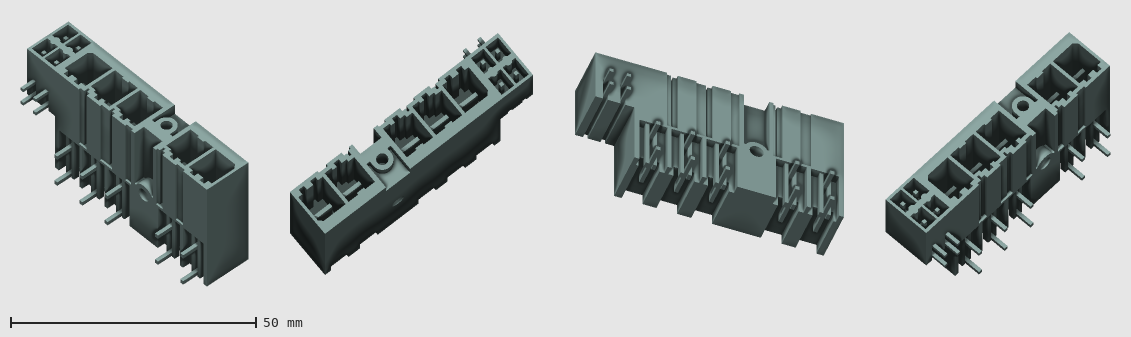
import cadquery as cq

LENGTH = 54.3
DEPTH = 11.45
HEIGHT = 28.3
SIGNAL_BLOCK_WIDTH = 8.5
SIGNAL_BLOCK_BOTTOM = 15.05
TAIL_REACH = 3.4

POLE_PITCH = 7.6
MOUNT_X = 35.25
POLE_STEPS = [-3, -2, -1, 1, 2]
POLE_XS = [MOUNT_X + step * POLE_PITCH for step in POLE_STEPS]
FIRST_POLE_X = POLE_XS[0]
LAST_POLE_X = POLE_XS[-1]
INNER_POLE_XS = POLE_XS[1:-1]

POCKET_FLOOR = 13.05
POCKET_HALF = 3.4
POCKET_OUTER_HALF = 3.2
POCKET_BACK = 9.1
POCKET_KEY_BOTTOM = 0.75
POCKET_RAIL = 1.8
POCKET_CORNER = 0.85
END_KEY_INNER = 0.8
END_KEY_OUTER = 2.15
END_OUTER_FRONT = 1.95
END_INNER_FRONT = 1.65
MIDDLE_KEY_HALF = 0.65
MIDDLE_LEFT_STEP = 1.9
MIDDLE_RIGHT_STEP = 1.7
MIDDLE_LEFT_FRONT = 2.4
MIDDLE_RIGHT_FRONT = 1.3
TAB_HALF = 0.9
TAB_HEIGHT = 0.45

GROOVE_BOTTOM = 12.45
GROOVE_DEPTH = 0.5
SLOT_LEFT = -3.3
SLOT_STEP = -2.8
SLOT_RIGHT = -2.0
SLOT_DEEP = 1.65
SLOT_SHALLOW = 0.8
GROOVE_START = 2.0
FIRST_GROOVE_START = 3.2
MOUNT_LEFT_GROOVE_WIDTH = 1.8
MOUNT_RIGHT_GROOVE_WIDTH = 0.6

RECESS_TOP = 11.8
RECESS_DEPTH = 1.85
RECESS_HALF = 3.35
RECESS_OUTER_HALF = 2.8
RIB_SETBACK = 0.5
RIB_WIDTH = 0.8
NOTCH_HALF = 2.3
NOTCH_TOP = 2.65

BLADE_WIDTH = 4.5
BLADE_THICKNESS = 0.85
BLADE_Y = 5.8
BLADE_TOP = 21.7
STEM_WIDTH = 0.85
POWER_TAIL_HEIGHT = 1.0
POWER_TAIL_BOTTOM = 0.3
POWER_TAIL_ZS = [POWER_TAIL_BOTTOM, POWER_TAIL_BOTTOM + POLE_PITCH]

FRONT_POCKET_HALF = 2.75
FRONT_POCKET_DEPTH = 2.6
FRONT_POCKET_BOTTOM = 13.6
CROSS_BOSS_RADIUS = 2.65
CROSS_HOLE_RADIUS = 1.5
CROSS_HOLE_Z = 12.3
BACK_POCKET_HALF = 3.15
BACK_POCKET_FRONT = 5.1
BACK_POCKET_DEPTH = 2.6
SCREW_BOSS_RADIUS = 2.3
SCREW_HOLE_RADIUS = 1.25
SCREW_HOLE_DEPTH = 6.5
SCREW_Y = 6.3

SIGNAL_XS = [2.2, 6.05]
CAVITY_FLOOR = 21.7
CAVITY_WIDTH = 3.25
FRONT_CAVITY = (0.75, 5.05)
BACK_CAVITY = (6.35, 10.8)
FRONT_BUMP = (1.2, 0.4)
BACK_BUMP = (1.6, 0.5)
SIGNAL_PIN = 0.8
SIGNAL_TIP_DEPTH = 1.2
SIGNAL_TOP = HEIGHT - SIGNAL_TIP_DEPTH
FRONT_PIN_Y = 2.65
BACK_PIN_Y = 8.7
FRONT_PIN_BOTTOM = 19.95
BACK_PIN_BOTTOM = 16.0
SIGNAL_SLOT_WIDTH = 1.05


def block(x0, x1, y0, y1, z0, z1):
    """Box between two X, two Y and two Z positions."""
    return cq.Workplane("XY").box(x1 - x0, y1 - y0, z1 - z0, centered=False).translate((x0, y0, z0))


def middle_block(x, half, y0, y1, z0, z1):
    """Box centred on x."""
    return block(x - half, x + half, y0, y1, z0, z1)


def pocket_prism(points):
    """Prism over the given outline, from the pocket floor to the top face."""
    outline = cq.Workplane("XY", origin=(0, 0, POCKET_FLOOR)).polyline(points).close()
    return outline.extrude(HEIGHT - POCKET_FLOOR)


def end_pocket(pole_x, outer_side):
    """Pocket of an end pole; outer_side is -1 for the left end and 1 for the right end."""
    outline = [
        (POCKET_OUTER_HALF, END_OUTER_FRONT),
        (END_KEY_OUTER, END_OUTER_FRONT),
        (END_KEY_OUTER, POCKET_KEY_BOTTOM),
        (END_KEY_INNER, POCKET_KEY_BOTTOM),
        (END_KEY_INNER, POCKET_RAIL),
        (-END_KEY_INNER, POCKET_RAIL),
        (-END_KEY_INNER, POCKET_KEY_BOTTOM),
        (-END_KEY_OUTER, POCKET_KEY_BOTTOM),
        (-END_KEY_OUTER, END_INNER_FRONT),
        (-POCKET_HALF, END_INNER_FRONT),
        (-POCKET_HALF, POCKET_BACK),
        (POCKET_OUTER_HALF - POCKET_CORNER, POCKET_BACK),
        (POCKET_OUTER_HALF, POCKET_BACK - POCKET_CORNER),
    ]
    points = [(pole_x + outer_side * x, y) for x, y in outline]
    return pocket_prism(points)


def middle_pocket(pole_x):
    """Pocket of a middle pole, with a key groove in front and a tab at the back."""
    outline = [
        (-POCKET_HALF, MIDDLE_LEFT_FRONT),
        (-MIDDLE_LEFT_STEP, MIDDLE_LEFT_FRONT),
        (-MIDDLE_LEFT_STEP, POCKET_RAIL),
        (-MIDDLE_KEY_HALF, POCKET_RAIL),
        (-MIDDLE_KEY_HALF, POCKET_KEY_BOTTOM),
        (MIDDLE_KEY_HALF, POCKET_KEY_BOTTOM),
        (MIDDLE_KEY_HALF, POCKET_RAIL),
        (MIDDLE_RIGHT_STEP, POCKET_RAIL),
        (MIDDLE_RIGHT_STEP, MIDDLE_RIGHT_FRONT),
        (POCKET_HALF, MIDDLE_RIGHT_FRONT),
        (POCKET_HALF, POCKET_BACK),
        (TAB_HALF, POCKET_BACK),
        (TAB_HALF, POCKET_BACK - TAB_HEIGHT),
        (-TAB_HALF, POCKET_BACK - TAB_HEIGHT),
        (-TAB_HALF, POCKET_BACK),
        (-POCKET_HALF, POCKET_BACK),
    ]
    points = [(pole_x + x, y) for x, y in outline]
    return pocket_prism(points)


def front_groove(x0, x1, depth):
    """Groove in the front face, open at the top."""
    return block(x0, x1, 0, depth, GROOVE_BOTTOM, HEIGHT)


def cut_coding_grooves(body):
    """Stepped slot left of every inner pole, and the shallow grooves between the poles."""
    for pole_x in INNER_POLE_XS:
        body = body.cut(front_groove(pole_x + SLOT_LEFT, pole_x + SLOT_STEP, SLOT_DEEP))
        body = body.cut(front_groove(pole_x + SLOT_STEP, pole_x + SLOT_RIGHT, SLOT_SHALLOW))
    second_x, third_x, fourth_x = INNER_POLE_XS
    third_start = third_x + GROOVE_START
    fourth_slot = fourth_x + SLOT_LEFT
    grooves = [
        (FIRST_POLE_X + FIRST_GROOVE_START, second_x + SLOT_LEFT),
        (second_x + GROOVE_START, third_x + SLOT_LEFT),
        (third_start, third_start + MOUNT_LEFT_GROOVE_WIDTH),
        (fourth_slot - MOUNT_RIGHT_GROOVE_WIDTH, fourth_slot),
        (fourth_x + GROOVE_START, LAST_POLE_X + SLOT_LEFT),
    ]
    for start, end in grooves:
        body = body.cut(front_groove(start, end, GROOVE_DEPTH))
    return body


def tail_bay(pole_x):
    """Space around the tails of one pole: recess and bottom notch, less the two ribs, plus the stem slot."""
    left = RECESS_OUTER_HALF if pole_x == FIRST_POLE_X else RECESS_HALF
    right = RECESS_OUTER_HALF if pole_x == LAST_POLE_X else RECESS_HALF
    half_stem = STEM_WIDTH / 2
    recess = block(pole_x - left, pole_x + right, 0, RECESS_DEPTH, 0, RECESS_TOP)
    notch = middle_block(pole_x, NOTCH_HALF, 0, DEPTH, 0, NOTCH_TOP)
    ribs = middle_block(pole_x, half_stem + RIB_WIDTH, RIB_SETBACK, RECESS_DEPTH, 0, RECESS_TOP)
    stem_slot = middle_block(pole_x, half_stem, 0, BLADE_Y + BLADE_THICKNESS / 2, 0, RECESS_TOP)
    return recess.union(notch).cut(ribs).union(stem_slot)


def cut_mount(body):
    """Screw mount with a hole from the top and a cross hole from front to back."""
    cross_plane = cq.Workplane("XZ", origin=(MOUNT_X, 0, CROSS_HOLE_Z))
    boss = cross_plane.circle(CROSS_BOSS_RADIUS).extrude(-DEPTH)
    front_pocket = middle_block(
        MOUNT_X, FRONT_POCKET_HALF, 0, FRONT_POCKET_DEPTH, FRONT_POCKET_BOTTOM, HEIGHT
    )
    body = body.cut(front_pocket.cut(boss))
    body = body.cut(cross_plane.circle(CROSS_HOLE_RADIUS).extrude(-DEPTH))

    pocket_floor = HEIGHT - BACK_POCKET_DEPTH
    back_pocket = middle_block(MOUNT_X, BACK_POCKET_HALF, BACK_POCKET_FRONT, DEPTH, pocket_floor, HEIGHT)
    screw_plane = cq.Workplane("XY", origin=(MOUNT_X, SCREW_Y, pocket_floor))
    screw_boss = screw_plane.circle(SCREW_BOSS_RADIUS).extrude(BACK_POCKET_DEPTH)
    screw_boss = screw_boss.union(
        middle_block(MOUNT_X, SCREW_BOSS_RADIUS, BACK_POCKET_FRONT, SCREW_Y, pocket_floor, HEIGHT)
    )
    body = body.cut(back_pocket.cut(screw_boss))
    screw_hole = cq.Workplane("XY", origin=(MOUNT_X, SCREW_Y, HEIGHT)).circle(SCREW_HOLE_RADIUS)
    return body.cut(screw_hole.extrude(-SCREW_HOLE_DEPTH))


def signal_cavity(x, plain_y, key_y, bump):
    """Cavity with a plain wall at plain_y and a wall with a rounded inward key at key_y."""
    half = CAVITY_WIDTH / 2
    chord, rise = bump
    inward = rise if plain_y > key_y else -rise
    outline = (
        cq.Workplane("XY", origin=(0, 0, CAVITY_FLOOR))
        .moveTo(x - half, plain_y)
        .lineTo(x - half, key_y)
        .lineTo(x - chord / 2, key_y)
        .threePointArc((x, key_y + inward), (x + chord / 2, key_y))
        .lineTo(x + half, key_y)
        .lineTo(x + half, plain_y)
        .close()
    )
    return outline.extrude(HEIGHT - CAVITY_FLOOR)


def cut_signal_side(body):
    """Four signal cavities and the slots below them for the pins."""
    slot_back = BACK_PIN_Y + SIGNAL_PIN / 2
    slot_top = FRONT_PIN_BOTTOM + SIGNAL_PIN
    half_slot = SIGNAL_SLOT_WIDTH / 2
    for x in SIGNAL_XS:
        body = body.cut(signal_cavity(x, FRONT_CAVITY[0], FRONT_CAVITY[1], FRONT_BUMP))
        body = body.cut(signal_cavity(x, BACK_CAVITY[1], BACK_CAVITY[0], BACK_BUMP))
        body = body.cut(middle_block(x, half_slot, 0, slot_back, SIGNAL_BLOCK_BOTTOM, slot_top))
        body = body.cut(middle_block(x, half_slot, 0, DEPTH, SIGNAL_BLOCK_BOTTOM, BACK_PIN_BOTTOM))
    return body


def make_signal_pin(x, y, bottom):
    """Upright square pin with a tail bent forward at its lower end."""
    half = SIGNAL_PIN / 2
    upright = middle_block(x, half, y - half, y + half, bottom, SIGNAL_TOP)
    return upright.union(middle_block(x, half, -TAIL_REACH, y, bottom, bottom + SIGNAL_PIN))


def make_power_contact(x):
    """Blade standing on the pocket floor, with a narrow stem and two forward tails below."""
    half_stem = STEM_WIDTH / 2
    front = BLADE_Y - BLADE_THICKNESS / 2
    back = BLADE_Y + BLADE_THICKNESS / 2
    contact = middle_block(x, BLADE_WIDTH / 2, front, back, POCKET_FLOOR, BLADE_TOP)
    contact = contact.union(middle_block(x, half_stem, front, back, POWER_TAIL_BOTTOM, POCKET_FLOOR))
    for z in POWER_TAIL_ZS:
        contact = contact.union(middle_block(x, half_stem, -TAIL_REACH, back, z, z + POWER_TAIL_HEIGHT))
    return contact


def make_housing(contacts):
    """Complete housing with holes that match the given contacts."""
    body = block(0, LENGTH, 0, DEPTH, 0, HEIGHT)
    body = body.cut(block(0, SIGNAL_BLOCK_WIDTH, 0, DEPTH, 0, SIGNAL_BLOCK_BOTTOM))
    body = body.cut(end_pocket(FIRST_POLE_X, -1))
    body = body.cut(end_pocket(LAST_POLE_X, 1))
    for pole_x in INNER_POLE_XS:
        body = body.cut(middle_pocket(pole_x))
    for pole_x in POLE_XS:
        body = body.cut(tail_bay(pole_x))
    body = cut_coding_grooves(body)
    body = cut_mount(body)
    body = cut_signal_side(body)
    for contact in contacts:
        body = body.cut(contact)
    return body


power_contacts = [make_power_contact(x) for x in POLE_XS]
signal_pins = []
for signal_x in SIGNAL_XS:
    signal_pins.append(make_signal_pin(signal_x, FRONT_PIN_Y, FRONT_PIN_BOTTOM))
    signal_pins.append(make_signal_pin(signal_x, BACK_PIN_Y, BACK_PIN_BOTTOM))
housing = make_housing(power_contacts + signal_pins)

inserts = [insert.solids().val() for insert in power_contacts + signal_pins]
result = cq.Compound.makeCompound([housing.solids().val(), *inserts])